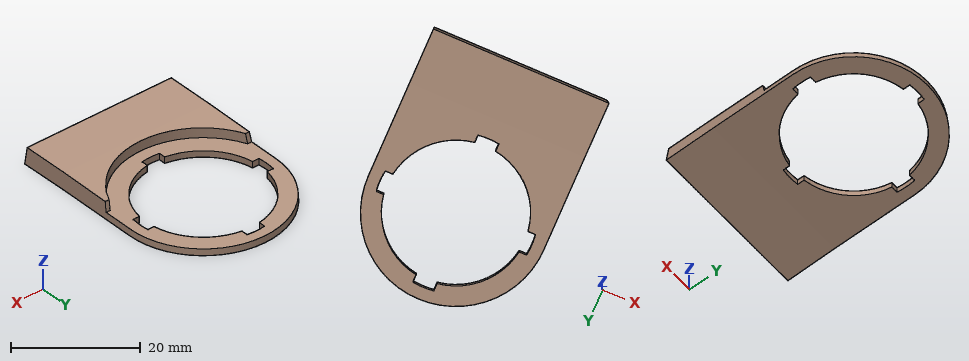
import cadquery as cq
import math

width = 29.53
length = 40.06
draft_angle = 5.0

head_base = 0.17
ring_top = 1.4
crease_top = 3.24
shoulder_drop = 0.08
front_drop = 0.095

head_radius = width / 2
head_reach = head_radius - head_base * math.tan(math.radians(draft_angle))
front_y = head_reach - length

hole_radius = 11.5
notch_radius = 12.75
notch_width = 3.5
notch_count = 4

seat_radius = 15.0
seat_draft = 2.0
shoulder_y = -5.85
shoulder_angle = 13.0
crease_y = -15.95


def drafted_body():
    """Full-height body whose outer walls lean inward all round."""
    return (
        cq.Workplane("XY")
        .moveTo(-head_radius, front_y)
        .lineTo(head_radius, front_y)
        .lineTo(head_radius, 0)
        .threePointArc((0, head_radius), (-head_radius, 0))
        .close()
        .extrude(crease_top, taper=draft_angle)
    )


def height_envelope():
    """Side profile: thin ring, sloped shoulder, and a label plate bent slightly down at the crease."""
    shoulder_top = crease_top - shoulder_drop
    shoulder_run = (shoulder_top - ring_top) * math.tan(math.radians(shoulder_angle))
    profile = [
        (head_radius, head_base),
        (head_radius, ring_top),
        (shoulder_y, ring_top),
        (shoulder_y - shoulder_run, shoulder_top),
        (crease_y, crease_top),
        (front_y, crease_top - front_drop),
        (front_y, 0),
        (crease_y, head_base),
    ]
    return cq.Workplane("YZ").polyline(profile).close().extrude(head_radius, both=True)


def round_seat():
    """Round recess, slightly wider at the top, that clears the label block from above the ring."""
    return (
        cq.Workplane("XY")
        .workplane(offset=ring_top)
        .circle(seat_radius)
        .extrude(crease_top - ring_top, taper=-seat_draft)
    )


def keyed_hole():
    """Through hole with evenly spaced notches that end on a larger circle."""
    hole = cq.Workplane("XY").circle(hole_radius).extrude(ring_top)
    notch_limit = cq.Workplane("XY").circle(notch_radius).extrude(ring_top)
    notches = (
        cq.Workplane("XY")
        .polarArray(notch_radius, 0, 360, notch_count)
        .rect(notch_radius, notch_width)
        .extrude(ring_top)
    )
    return hole.union(notches.intersect(notch_limit))


result = drafted_body().intersect(height_envelope()).cut(round_seat()).cut(keyed_hole())